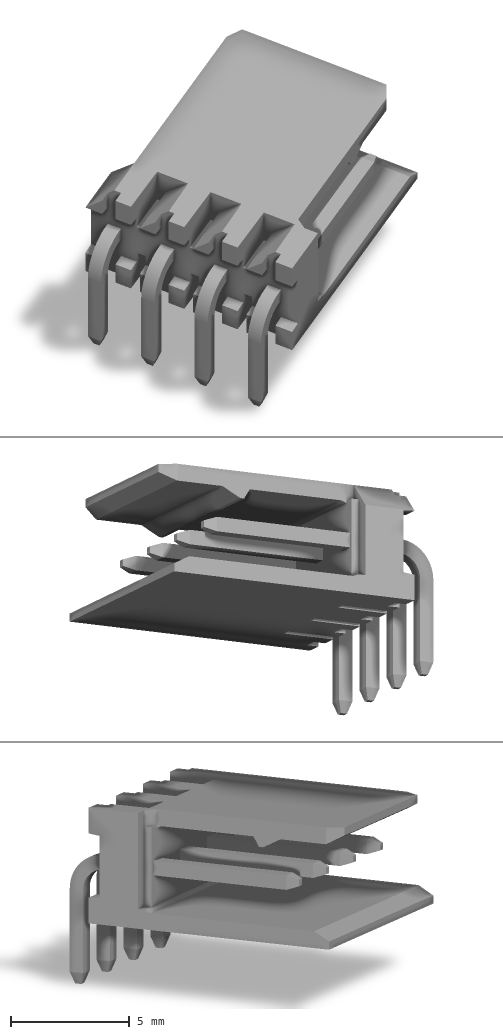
import cadquery as cq


housing_width = 9.86
housing_height = 4.99
mating_end = 12.61
plate_thickness = 0.73
plate_bevel_height = 0.38
plate_bevel_length = 0.69
lug_back = 1.29
wall_back = 1.8
wall_front = 3.61
step_front = 3.93
step_inset = 0.64
step_margin = 0.83
root_ramp_height = step_margin - plate_thickness
root_ramp_length = 0.24
key_chamfer = 1.11
lug_slope = 0.05
plate_width = housing_width - 2 * key_chamfer

latch_rear = 8.5
latch_crest_rear = 8.76
latch_crest_front = 8.95
latch_front = 9.79
latch_depth = 0.43

groove_width = 0.43
groove_height = 1.71
groove_taper = 0.7
overshoot = 0.25

pin_count = 4
pin_pitch = 2.541
pin_size = 0.63
pin_tip_size = 0.29
pin_tip_length = 0.52
pin_front = 10.72
pin_bottom = -2.9
bend_outer_radius = 1.6
pin_axis_height = housing_height / 2

pin_positions = [(i - (pin_count - 1) / 2) * pin_pitch for i in range(pin_count)]
groove_positions = [x + pin_pitch / 2 for x in pin_positions[:-1]]


def box_between(x0, x1, y0, y1, z0, z1):
    """Box given by its limits along each axis."""
    return cq.Workplane("XY").box(x1 - x0, y1 - y0, z1 - z0, centered=False).translate((x0, y0, z0))


def side_prism(points, width):
    """Prism of a (Y, Z) outline, centred on X = 0."""
    return cq.Workplane("YZ").polyline(points).close().extrude(width / 2, both=True)


def lower_plate():
    return side_prism(
        [
            (lug_back, 0),
            (mating_end, 0),
            (mating_end, plate_thickness - plate_bevel_height),
            (mating_end - plate_bevel_length, plate_thickness),
            (step_front + root_ramp_length, plate_thickness),
            (step_front, step_margin),
            (wall_back, step_margin),
            (wall_back, key_chamfer + lug_slope),
            (lug_back, key_chamfer),
        ],
        housing_width,
    )


def upper_plate():
    underside = housing_height - plate_thickness
    plate = side_prism(
        [
            (wall_front, housing_height),
            (mating_end, housing_height),
            (mating_end, underside + plate_bevel_height),
            (mating_end - plate_bevel_length, underside),
            (latch_front, underside),
            (latch_crest_front, underside - latch_depth),
            (latch_crest_rear, underside - latch_depth),
            (latch_rear, underside),
            (step_front + root_ramp_length, underside),
            (step_front, underside - root_ramp_height),
            (wall_front, underside - root_ramp_height),
        ],
        plate_width,
    )
    for side in (-1, 1):
        edge = side * plate_width / 2
        corner = (
            cq.Workplane("XY")
            .polyline(
                [
                    (edge, mating_end - plate_bevel_length),
                    (edge, mating_end),
                    (edge - side * plate_bevel_height, mating_end),
                ]
            )
            .close()
            .extrude(housing_height)
        )
        plate = plate.cut(corner)
    edge = plate_width / 2
    flare = (
        cq.Workplane("XY", origin=(0, 0, underside))
        .polyline([(edge, step_front), (housing_width / 2 - step_inset, wall_front), (edge, wall_front)])
        .close()
        .extrude(plate_thickness)
    )
    return plate.union(flare)


def wall():
    half = housing_width / 2
    block = box_between(-half, half, wall_back, wall_front, 0, housing_height)
    step_half = half - step_inset
    step = box_between(
        -step_half, step_half, wall_back, step_front, step_margin, housing_height - plate_thickness
    )
    lug_face = housing_height - key_chamfer
    upper_lugs = side_prism(
        [
            (lug_back, lug_face),
            (wall_back, lug_face - lug_slope),
            (wall_back, housing_height),
            (lug_back, housing_height),
        ],
        housing_width,
    )
    return block.union(step).union(upper_lugs)


def rear_cut(points, taper=0):
    """Cutter of an (X, Z) outline, running from the lug faces to the wall front."""
    depth = wall_front - lug_back
    return cq.Workplane("XZ", origin=(0, lug_back, 0)).polyline(points).close().extrude(-depth, taper=taper)


def key_corner():
    """Chamfer along the upper -X corner of the wall."""
    edge = -housing_width / 2
    return rear_cut(
        [
            (edge, housing_height - key_chamfer),
            (edge + key_chamfer, housing_height),
            (edge, housing_height),
        ]
    )


def upper_groove(x):
    """Groove whose +X side opens into a 45 degree chamfer."""
    left = x - groove_width / 2
    right = x + groove_width / 2
    chamfer_bottom = housing_height - key_chamfer
    return rear_cut(
        [
            (left, housing_height - groove_height),
            (right, housing_height - groove_height),
            (right, chamfer_bottom),
            (right + key_chamfer + overshoot, housing_height + overshoot),
            (left, housing_height + overshoot),
        ],
        groove_taper,
    )


def lower_groove(x):
    left = x - groove_width / 2
    right = x + groove_width / 2
    return rear_cut(
        [(left, -overshoot), (right, -overshoot), (right, groove_height), (left, groove_height)],
        groove_taper,
    )


def pin_gap(x):
    """Gap that splits the lugs in line with a pin."""
    return box_between(x - pin_size / 2, x + pin_size / 2, lug_back, wall_back, 0, housing_height)


def pin_tip(plane):
    """Square tapered tip growing from the given plane."""
    return (
        cq.Workplane(plane)
        .rect(pin_size, pin_size)
        .workplane(offset=pin_tip_length)
        .rect(pin_tip_size, pin_tip_size)
        .loft()
    )


def pin(x):
    half = pin_size / 2
    bend_axis_radius = bend_outer_radius - half
    contact_end = pin_front - pin_tip_length
    tail_end = pin_bottom + pin_tip_length
    bend_bottom = pin_axis_height - bend_axis_radius
    path = (
        cq.Workplane("YZ", origin=(x, 0, 0))
        .moveTo(contact_end, pin_axis_height)
        .lineTo(bend_outer_radius, pin_axis_height)
        .tangentArcPoint((half, bend_bottom), relative=False)
        .lineTo(half, tail_end)
    )
    contact_plane = cq.Plane(origin=(x, contact_end, pin_axis_height), xDir=(1, 0, 0), normal=(0, 1, 0))
    tail_plane = cq.Plane(origin=(x, half, tail_end), xDir=(1, 0, 0), normal=(0, 0, -1))
    bar = cq.Workplane(contact_plane).rect(pin_size, pin_size).sweep(path)
    return bar.union(pin_tip(contact_plane)).union(pin_tip(tail_plane))


result = wall().union(lower_plate()).union(upper_plate()).cut(key_corner())
for groove_x in groove_positions:
    result = result.cut(upper_groove(groove_x)).cut(lower_groove(groove_x))
for pin_x in pin_positions:
    result = result.cut(pin_gap(pin_x))
for pin_x in pin_positions:
    result = result.union(pin(pin_x))